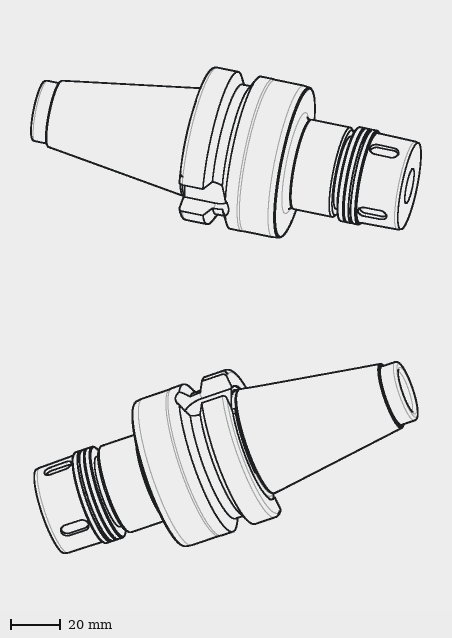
import cadquery as cq
import math

LENGTH = 155.4


PILOT_DIA = 25.0
PILOT_LENGTH = 6.7
PILOT_FILLET = 1.1

TAPER_RATE = 7 / 24
GAUGE_X = 65.5
GAUGE_DIA = 44.5
TAPER_EDGE_BREAK = 0.5

RELIEF_DIA = 43.5
RELIEF_LEAD = 0.6
RELIEF_FILLET = 1.0

FLANGE_DIA = 63.0
FLANGE_FACE_X = 67.0
FLANGE_FILLET = 1.4
FLANGE_RECESS_DIA = 48.5
FLANGE_RECESS_DEPTH = 0.5
VEE_DIA = 53.6
VEE_FLOOR_START_X = 79.9
VEE_FLOOR_WIDTH = 4.2
VEE_HALF_ANGLE = 30.0
RIM_END_X = 91.7
RIM_STEP = 1.0

COLLAR_DIA = 62.6
COLLAR_END_X = 107.5
COLLAR_LEAD = 3.0
COLLAR_END_DROP = 0.3
COLLAR_EDGE_BREAK = 0.5

BODY_DIA = 37.0
BODY_ROOT_DIA = 36.7
BODY_FILLET = 2.5
BODY_ROOT_LENGTH = 2.8
BODY_ROOT_STEP = 0.5
BODY_END_X = 127.7
BODY_CHAMFER = 1.0
NECK_DIA = 30.0

NUT_START_X = 130.2
NUT_BAND_DIA = 38.8
NUT_BAND_END_X = 138.3
NUT_BAND_CHAMFER = 0.5
NUT_DIA = 37.0
NUT_TIP_DIA = 36.4
NUT_END_CHAMFER = 1.4
NUT_END_CHAMFER_HEIGHT = 0.3
BAND_GROOVE_DEPTH = 0.5
NARROW_GROOVE_X = 132.7
NARROW_GROOVE_WIDTH = 0.5
WIDE_GROOVE_X = 135.0
WIDE_GROOVE_WIDTH = 1.0

SPANNER_COUNT = 4
SPANNER_START_X = 139.0
SPANNER_LENGTH = 11.8
SPANNER_WIDTH = 5.3
SPANNER_FLOOR_RADIUS = 16.5

DRIVE_WIDTH = 16.0
DRIVE_END_X = 88.3
DRIVE_FLOOR_RADIUS = 22.7

BORE_DIA = 14.3
SOCKET_DIA = 17.4
SOCKET_DEPTH = 7.8
SEAT_DIA = 17.0
SEAT_LENGTH = 1.4
THREAD_DIA = 16.0
THREAD_END_X = 31.1
MOUTH_FILLET = 1.2

QUARTER_MID = 1 - math.sqrt(0.5)


def turned_body():
    """Solid of revolution around X, drawn as radius against length."""
    pilot_radius = PILOT_DIA / 2
    gauge_radius = GAUGE_DIA / 2
    taper_radius = gauge_radius - (GAUGE_X - PILOT_LENGTH) * TAPER_RATE / 2
    relief_radius = RELIEF_DIA / 2
    recess_x = FLANGE_FACE_X + FLANGE_RECESS_DEPTH
    flange_radius = FLANGE_DIA / 2
    vee_radius = VEE_DIA / 2
    vee_wall_width = (flange_radius - vee_radius) * math.tan(math.radians(VEE_HALF_ANGLE))
    vee_floor_end_x = VEE_FLOOR_START_X + VEE_FLOOR_WIDTH
    collar_radius = COLLAR_DIA / 2
    collar_end_radius = collar_radius - COLLAR_END_DROP
    root_radius = BODY_ROOT_DIA / 2
    body_radius = BODY_DIA / 2
    root_end_x = COLLAR_END_X + BODY_ROOT_LENGTH
    neck_radius = NECK_DIA / 2
    nut_tip_radius = NUT_TIP_DIA / 2
    band_radius = NUT_BAND_DIA / 2

    profile = (
        cq.Workplane("XY")
        .moveTo(0, 0)
        .lineTo(0, pilot_radius - PILOT_FILLET)
        .threePointArc(
            (PILOT_FILLET * QUARTER_MID, pilot_radius - PILOT_FILLET * QUARTER_MID),
            (PILOT_FILLET, pilot_radius),
        )
        .lineTo(PILOT_LENGTH, pilot_radius)
        .lineTo(PILOT_LENGTH, taper_radius - TAPER_EDGE_BREAK)
        .lineTo(PILOT_LENGTH + TAPER_EDGE_BREAK, taper_radius + TAPER_EDGE_BREAK * TAPER_RATE / 2)
        .lineTo(GAUGE_X, gauge_radius)
        .lineTo(GAUGE_X + RELIEF_LEAD, relief_radius)
        .lineTo(recess_x - RELIEF_FILLET, relief_radius)
        .threePointArc(
            (recess_x - RELIEF_FILLET * QUARTER_MID, relief_radius + RELIEF_FILLET * QUARTER_MID),
            (recess_x, relief_radius + RELIEF_FILLET),
        )
        .lineTo(recess_x, FLANGE_RECESS_DIA / 2)
        .lineTo(FLANGE_FACE_X, FLANGE_RECESS_DIA / 2)
        .lineTo(FLANGE_FACE_X, flange_radius - FLANGE_FILLET)
        .threePointArc(
            (FLANGE_FACE_X + FLANGE_FILLET * QUARTER_MID, flange_radius - FLANGE_FILLET * QUARTER_MID),
            (FLANGE_FACE_X + FLANGE_FILLET, flange_radius),
        )
        .lineTo(VEE_FLOOR_START_X - vee_wall_width, flange_radius)
        .lineTo(VEE_FLOOR_START_X, vee_radius)
        .lineTo(vee_floor_end_x, vee_radius)
        .lineTo(vee_floor_end_x + vee_wall_width, flange_radius)
        .lineTo(RIM_END_X, flange_radius)
        .lineTo(RIM_END_X + RIM_STEP, collar_radius)
        .lineTo(COLLAR_END_X - COLLAR_LEAD, collar_radius)
        .lineTo(COLLAR_END_X - COLLAR_EDGE_BREAK, collar_end_radius)
        .lineTo(COLLAR_END_X, collar_end_radius - COLLAR_EDGE_BREAK)
        .lineTo(COLLAR_END_X, root_radius + BODY_FILLET)
        .threePointArc(
            (COLLAR_END_X + BODY_FILLET * QUARTER_MID, root_radius + BODY_FILLET * QUARTER_MID),
            (COLLAR_END_X + BODY_FILLET, root_radius),
        )
        .lineTo(root_end_x, root_radius)
        .lineTo(root_end_x + BODY_ROOT_STEP, body_radius)
        .lineTo(BODY_END_X - BODY_CHAMFER, body_radius)
        .lineTo(BODY_END_X, body_radius - BODY_CHAMFER)
        .lineTo(BODY_END_X, neck_radius)
        .lineTo(NUT_START_X, neck_radius)
        .lineTo(NUT_START_X, band_radius - NUT_BAND_CHAMFER)
        .lineTo(NUT_START_X + NUT_BAND_CHAMFER, band_radius)
        .lineTo(NUT_BAND_END_X - NUT_BAND_CHAMFER, band_radius)
        .lineTo(NUT_BAND_END_X, band_radius - NUT_BAND_CHAMFER)
        .lineTo(NUT_BAND_END_X, NUT_DIA / 2)
        .lineTo(LENGTH - NUT_END_CHAMFER, nut_tip_radius)
        .lineTo(LENGTH, nut_tip_radius - NUT_END_CHAMFER_HEIGHT)
        .lineTo(LENGTH, 0)
        .close()
    )
    return profile.revolve(360, (0, 0, 0), (1, 0, 0))


def band_groove(start_x, width):
    """Ring that cuts one shallow groove into the band of the nut."""
    return (
        cq.Workplane("YZ", origin=(start_x, 0, 0))
        .circle(NUT_BAND_DIA / 2 + BAND_GROOVE_DEPTH)
        .circle(NUT_BAND_DIA / 2 - BAND_GROOVE_DEPTH)
        .extrude(width)
    )


def spanner_slot(angle):
    """Round-ended slot cutter above the nut, turned about X by angle."""
    return (
        cq.Workplane("XY", origin=(SPANNER_START_X + SPANNER_LENGTH / 2, 0, SPANNER_FLOOR_RADIUS))
        .slot2D(SPANNER_LENGTH, SPANNER_WIDTH)
        .extrude(NUT_BAND_DIA / 2)
        .rotate((0, 0, 0), (1, 0, 0), angle)
    )


def drive_slot(angle):
    """Drive slot cutter on -Y: open at the flange face, rounded at its inner end."""
    half_width = DRIVE_WIDTH / 2
    arc_start_x = DRIVE_END_X - half_width
    return (
        cq.Workplane("XZ", origin=(0, -DRIVE_FLOOR_RADIUS, 0))
        .moveTo(GAUGE_X, -half_width)
        .lineTo(arc_start_x, -half_width)
        .threePointArc((DRIVE_END_X, 0), (arc_start_x, half_width))
        .lineTo(GAUGE_X, half_width)
        .close()
        .extrude(FLANGE_DIA / 2)
        .rotate((0, 0, 0), (1, 0, 0), angle)
    )


def bore():
    """Through bore: socket, seat and plain thread hole behind a rounded mouth, with 45-degree cones."""
    bore_radius = BORE_DIA / 2
    socket_radius = SOCKET_DIA / 2
    seat_radius = SEAT_DIA / 2
    thread_radius = THREAD_DIA / 2
    seat_end_x = SOCKET_DEPTH + SEAT_LENGTH
    return (
        cq.Workplane("XY")
        .moveTo(0, 0)
        .lineTo(0, socket_radius + MOUTH_FILLET)
        .threePointArc(
            (MOUTH_FILLET * QUARTER_MID, socket_radius + MOUTH_FILLET * QUARTER_MID),
            (MOUTH_FILLET, socket_radius),
        )
        .lineTo(SOCKET_DEPTH, socket_radius)
        .lineTo(SOCKET_DEPTH, seat_radius)
        .lineTo(seat_end_x, seat_radius)
        .lineTo(seat_end_x + seat_radius - thread_radius, thread_radius)
        .lineTo(THREAD_END_X, thread_radius)
        .lineTo(THREAD_END_X + thread_radius - bore_radius, bore_radius)
        .lineTo(LENGTH, bore_radius)
        .lineTo(LENGTH, 0)
        .close()
        .revolve(360, (0, 0, 0), (1, 0, 0))
    )


result = turned_body().cut(bore())
result = result.cut(band_groove(NARROW_GROOVE_X, NARROW_GROOVE_WIDTH))
result = result.cut(band_groove(WIDE_GROOVE_X, WIDE_GROOVE_WIDTH))
for index in range(SPANNER_COUNT):
    result = result.cut(spanner_slot(index * 360 / SPANNER_COUNT))
for side_angle in (0, 180):
    result = result.cut(drive_slot(side_angle))